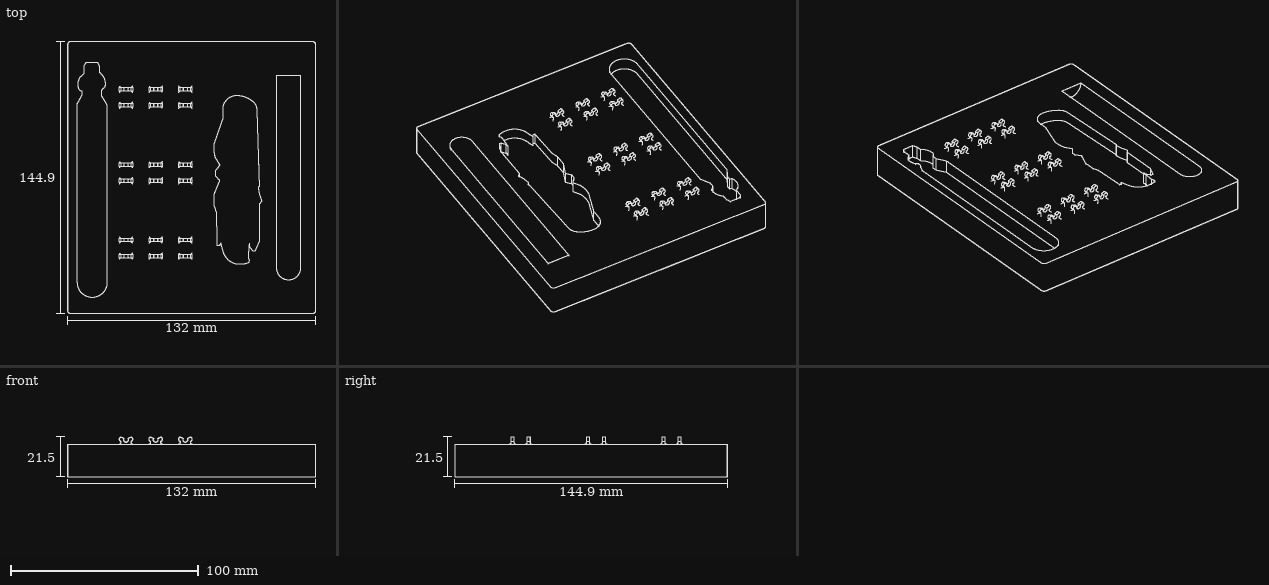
import cadquery as cq
import math

plate_width = 132.0
plate_length = 144.9
plate_height = 17.5
corner_radius = 1.7
overall_height = 21.5

bottle_depth = 7.2
knife_depth = 6.5
bottle_end_radius = 8.0
bottle_right = -44.9
bottle_left = bottle_right - 2 * bottle_end_radius
bottle_bottom = -63.7

groove_x = 51.6
groove_radius = 6.4
groove_back = 54.2
groove_front_centre = -48.1

column_pitch = 15.8
middle_column_x = -19.1
row_pitch = 40.1
middle_row_y = 2.6
pair_gap = 8.5
clip_height = overall_height - plate_height
clip_thickness = 1.7
clip_base_half_width = 2.8
clip_half_width = 3.6
clip_shoulder_height = 1.5
clip_bulge_height = 2.6
seat_radius = 1.23
seat_centre_height = 2.39
neck_half_width = 1.0
foot_fillet = 0.94


def make_plate():
    plate = cq.Workplane("XY").box(plate_width, plate_length, plate_height, centered=(True, True, False))
    return plate.edges("|Z").fillet(corner_radius)


def bottle_outline():
    """Long round-ended body with a waist, a bulb and a flat-topped cap."""
    end_centre_y = bottle_bottom + bottle_end_radius
    end_centre_x = (bottle_left + bottle_right) / 2
    return (
        cq.Workplane("XY", origin=(0, 0, plate_height))
        .moveTo(bottle_left, end_centre_y)
        .threePointArc((end_centre_x, bottle_bottom), (bottle_right, end_centre_y))
        .lineTo(bottle_right, 38.4)
        .lineTo(-48.0, 43.6)
        .lineTo(-48.0, 46.5)
        .lineTo(-46.0, 48.2)
        .threePointArc((-46.4, 52.5), (-49.0, 55.9))
        .lineTo(-49.0, 58.8)
        .lineTo(-50.0, 61.3)
        .lineTo(-56.0, 61.3)
        .lineTo(-57.2, 59.5)
        .lineTo(-57.2, 55.3)
        .lineTo(-59.3, 53.5)
        .threePointArc((-60.4, 50.7), (-59.7, 46.5))
        .lineTo(-58.4, 45.9)
        .lineTo(-58.4, 43.9)
        .lineTo(bottle_left, 39.3)
        .close()
    )


def knife_outline():
    """Folded multi-tool silhouette with notched edges and rounded ends."""
    return (
        cq.Workplane("XY", origin=(0, 0, plate_height))
        .moveTo(16.7, 37.2)
        .threePointArc((18.5, 41.3), (23.9, 43.6))
        .threePointArc((28.7, 42.7), (32.5, 40.5))
        .threePointArc((34.0, 38.7), (34.8, 36.2))
        .lineTo(36.1, -4.6)
        .lineTo(35.5, -5.0)
        .lineTo(36.1, -8.7)
        .lineTo(37.4, -12.6)
        .lineTo(36.1, -13.9)
        .lineTo(36.1, -33.9)
        .lineTo(33.8, -39.1)
        .lineTo(32.6, -39.1)
        .lineTo(30.9, -36.8)
        .lineTo(30.7, -35.0)
        .lineTo(30.1, -42.5)
        .lineTo(30.7, -43.9)
        .lineTo(30.4, -45.2)
        .lineTo(27.7, -46.0)
        .lineTo(24.3, -46.0)
        .threePointArc((19.4, -43.8), (16.5, -38.5))
        .lineTo(15.5, -34.9)
        .lineTo(14.8, -36.2)
        .lineTo(13.6, -36.2)
        .lineTo(13.2, -18.5)
        .lineTo(12.0, -15.0)
        .lineTo(12.0, -8.7)
        .lineTo(14.9, -1.6)
        .lineTo(12.6, 1.0)
        .lineTo(12.6, 3.5)
        .lineTo(15.0, 6.7)
        .lineTo(12.6, 10.6)
        .threePointArc((11.9, 14.3), (12.0, 18.1))
        .lineTo(16.7, 31.5)
        .close()
    )


def make_groove():
    start = cq.Workplane("XZ", origin=(groove_x, groove_back, plate_height))
    shaft = start.circle(groove_radius).extrude(groove_back - groove_front_centre)
    tip = cq.Workplane("XY", origin=(groove_x, groove_front_centre, plate_height)).sphere(groove_radius)
    return shaft.union(tip)


def clip_profile(x, y):
    """C-shaped clip section: rounded arms, a flared mouth and a round seat."""
    neck_height = seat_centre_height + math.sqrt(seat_radius**2 - neck_half_width**2)
    seat_bottom = seat_centre_height - seat_radius
    return (
        cq.Workplane("XZ", origin=(x, y + clip_thickness / 2, plate_height))
        .moveTo(-clip_base_half_width, 0)
        .lineTo(clip_base_half_width, 0)
        .lineTo(clip_base_half_width, clip_shoulder_height)
        .threePointArc((clip_half_width, clip_bulge_height), (clip_base_half_width, clip_height))
        .lineTo(neck_half_width, neck_height)
        .threePointArc((0, seat_bottom), (-neck_half_width, neck_height))
        .lineTo(-clip_base_half_width, clip_height)
        .threePointArc((-clip_half_width, clip_bulge_height), (-clip_base_half_width, clip_shoulder_height))
        .close()
    )


def clip_places():
    return [
        (middle_column_x + column * column_pitch, middle_row_y + row * row_pitch + side * pair_gap / 2)
        for column in (-1, 0, 1)
        for row in (-1, 0, 1)
        for side in (-1, 1)
    ]


def clip_foot_edges(body):
    """Edges where the clips meet the top of the plate."""
    reach_x = column_pitch + clip_half_width
    reach_y = row_pitch + pair_gap / 2 + clip_thickness
    tolerance = 0.01
    foot_region = cq.selectors.BoxSelector(
        (middle_column_x - reach_x, middle_row_y - reach_y, plate_height - tolerance),
        (middle_column_x + reach_x, middle_row_y + reach_y, plate_height + tolerance),
    )
    return body.edges(foot_region)


result = make_plate()
for clip_x, clip_y in clip_places():
    result = result.union(clip_profile(clip_x, clip_y).extrude(clip_thickness))
result = clip_foot_edges(result).fillet(foot_fillet)

result = result.cut(bottle_outline().extrude(-bottle_depth))
result = result.cut(knife_outline().extrude(-knife_depth))
result = result.cut(make_groove())